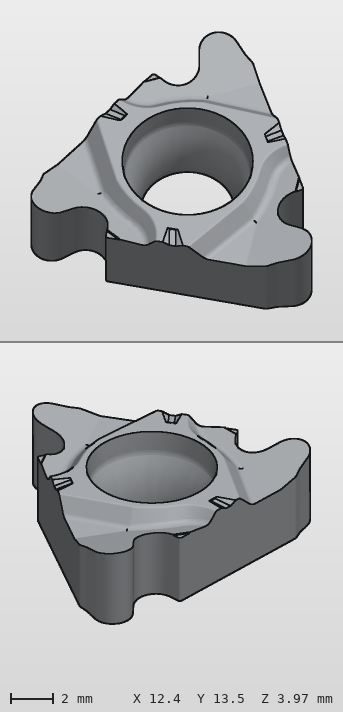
import cadquery as cq
import math

thickness = 3.97
overall_width = 13.47
teeth = 3
tooth_pitch = 360.0 / teeth
flank_distance = 4.78

bore_diameter = 4.4
rim_radius = 3.07
rim_depth = 0.97
rim_foot_radius = 2.98
seat_radius = 2.91
seat_blend_drop = 0.24
seat_arc_radius = 4.55

lobe_x, lobe_radius = -3.43, 0.97
scoop_x, scoop_y, scoop_radius = -1.32, -5.68, 1.05
flank_end = (-flank_distance, -4.78)
neck_upper = (-4.57, -5.25)
neck_lower = (-4.51, -5.44)
neck_foot_angle = 199.0
scoop_end_angle = 38.0
tip_x = -0.13
tip_fillet = 0.12
flank_end_fillet = 0.32

floor_z = 3.19
rake_start_y = -3.8
rake_angle = 15.0
rake_blend_radius = 0.31

land_y = -5.24
land_step_run = 0.04
land_z = 3.54
land_start_x = -0.81
land_length = 1.21

wall_angle = 48.0
wall_line_angle = 33.0
wall_bend = (-1.74, -3.02)
wall_bend_radius = 0.07
wall_crest = (0.23, -3.42)
wall_outer_radius = 2.02
wall_turn = 60.0
wall_foot_fillet = 0.4
wall_top_fillet = 0.16

notch_end_x = -3.93
notch_outer_depth = 0.155
notch_inner_depth = 0.05
notch_outer_top = (-0.8, 0.18)
notch_outer_floor = (-0.45, -0.13)
notch_inner_top = (-0.38, 0.12)
notch_inner_floor = (-0.27, 0.03)

margin = 4.04
overlap = 0.13

wall_zone_low = (-6.06, -4.58)
wall_zone_high = (1.62, -1.08)
wall_zone_reach = 0.18


def polar(x, y, radius, angle):
    """Point at this radius and angle in degrees from a center."""
    a = math.radians(angle)
    return (x + radius * math.cos(a), y + radius * math.sin(a))


def turned(point, index):
    """Point of the first tooth carried to the tooth with this index."""
    a = math.radians(index * tooth_pitch)
    x, y = point
    return (x * math.cos(a) - y * math.sin(a), x * math.sin(a) + y * math.cos(a))


pitch_sin = math.sin(math.radians(tooth_pitch))
pitch_cos = math.cos(math.radians(tooth_pitch))
lobe_y = -(overall_width - 2 * lobe_radius + lobe_x * pitch_sin) / (1 - pitch_cos)

link_length = math.hypot(scoop_x - lobe_x, scoop_y - lobe_y)
link_heading = math.degrees(math.atan2(scoop_y - lobe_y, scoop_x - lobe_x))
link_angle = link_heading - math.degrees(math.acos((lobe_radius + scoop_radius) / link_length))

flank_normal = math.radians(180 + tooth_pitch)
tip_y = (flank_distance - tip_x * math.cos(flank_normal)) / math.sin(flank_normal)
tip = (tip_x, tip_y)


def body():
    """Toothed outline at full thickness with its sharp corners rounded."""
    neck_foot = polar(lobe_x, lobe_y, lobe_radius, neck_foot_angle)
    lobe_bottom = (lobe_x, lobe_y - lobe_radius)
    lobe_end = polar(lobe_x, lobe_y, lobe_radius, link_angle)
    scoop_start = polar(scoop_x, scoop_y, scoop_radius, link_angle + 180)
    scoop_top = (scoop_x, scoop_y + scoop_radius)
    scoop_end = polar(scoop_x, scoop_y, scoop_radius, scoop_end_angle)
    outline = cq.Workplane("XY").moveTo(*turned(tip, -1))
    for i in range(teeth):
        for corner in (flank_end, neck_upper, neck_lower, neck_foot):
            outline = outline.lineTo(*turned(corner, i))
        outline = outline.threePointArc(turned(lobe_bottom, i), turned(lobe_end, i))
        outline = outline.lineTo(*turned(scoop_start, i))
        outline = outline.threePointArc(turned(scoop_top, i), turned(scoop_end, i))
        if i < teeth - 1:
            outline = outline.lineTo(*turned(tip, i))
    solid = outline.close().extrude(thickness)
    for i in range(teeth):
        for corner, radius in ((tip, tip_fillet), (flank_end, flank_end_fillet)):
            upright = cq.selectors.NearestToPointSelector((*turned(corner, i), thickness / 2))
            solid = solid.edges("|Z").edges(upright).fillet(radius)
    return solid


def rake_height(y):
    """Height of the first tooth's rising rake face."""
    return floor_z + (rake_start_y - y) * math.tan(math.radians(rake_angle))


def pocket_plan():
    """Region outside the plateau edge at the top face, running well past the body."""
    run = wall_crest[0] - wall_bend[0]
    drop = wall_bend[1] - wall_crest[1]
    arc_radius = (run ** 2 + drop ** 2) / (2 * drop)
    arc_center = (wall_crest[0], wall_crest[1] + arc_radius)
    half_turn = math.degrees(math.atan2(drop, run))
    arc_mid = polar(*arc_center, arc_radius, 270 - half_turn)
    line_normal = 270 - wall_line_angle
    bend_center = polar(*arc_center, arc_radius - wall_bend_radius, 270 - 2 * half_turn)
    bend_start = polar(*bend_center, wall_bend_radius, line_normal)
    bend_mid = polar(*bend_center, wall_bend_radius, (line_normal + 270) / 2 - half_turn)
    start = polar(*bend_start, 2 * margin, line_normal - 90)
    turn_y = wall_crest[1] - wall_outer_radius
    turn_mid = polar(wall_crest[0], turn_y, wall_outer_radius, 90 - wall_turn / 2)
    turn_end = polar(wall_crest[0], turn_y, wall_outer_radius, 90 - wall_turn)
    exit_end = polar(*turn_end, margin, -wall_turn)
    return (
        cq.Workplane("XY", origin=(0, 0, thickness))
        .moveTo(*start)
        .lineTo(*bend_start)
        .threePointArc(bend_mid, wall_bend)
        .threePointArc(arc_mid, wall_crest)
        .threePointArc(turn_mid, turn_end)
        .lineTo(*exit_end)
        .lineTo(start[0], exit_end[1] - margin)
        .close()
    )


def rake_space():
    """Space above the level floor and the rising rake face."""
    far_y = -4 * margin
    length = 8 * margin
    space = (
        cq.Workplane("YZ", origin=(-length / 2, 0, 0))
        .moveTo(margin, floor_z)
        .lineTo(rake_start_y, floor_z)
        .lineTo(far_y, rake_height(far_y))
        .lineTo(far_y, 2 * thickness)
        .lineTo(margin, 2 * thickness)
        .close()
        .extrude(length)
    )
    crease = cq.selectors.NearestToPointSelector((0, rake_start_y, floor_z))
    return space.edges(crease).fillet(rake_blend_radius)


def tip_land():
    """Space above the level land and the step that leads down to it."""
    return (
        cq.Workplane("YZ", origin=(land_start_x, 0, 0))
        .moveTo(land_y, rake_height(land_y))
        .lineTo(land_y - land_step_run, land_z)
        .lineTo(land_y - land_length, land_z)
        .lineTo(land_y - land_length, thickness)
        .lineTo(land_y, thickness)
        .close()
        .extrude(land_length)
    )


def wall_zone(z):
    """Picks the edges along the first tooth's wall that lie near height z."""
    low = (*wall_zone_low, z - wall_zone_reach)
    high = (*wall_zone_high, z + wall_zone_reach)
    return cq.selectors.BoxSelector(low, high)


def pocket():
    """Everything removed above the rake face of the first tooth."""
    wall_lean = 90 - wall_angle
    space = pocket_plan().extrude(floor_z - thickness - overlap, taper=wall_lean)
    space = space.intersect(rake_space())
    wall_foot = space.edges("not |X").edges(wall_zone(floor_z))
    return wall_foot.fillet(wall_foot_fillet)


def screw_hole():
    """Nearly straight rim blended into a rounded seat running into the bore."""
    bore_radius = bore_diameter / 2
    rim_foot_z = thickness - rim_depth
    arc_center_x = bore_radius + seat_arc_radius
    seat_angle = math.acos((arc_center_x - seat_radius) / seat_arc_radius)
    seat_top_z = rim_foot_z - seat_blend_drop
    seat_foot_z = seat_top_z - seat_arc_radius * math.sin(seat_angle)
    seat_mid = (
        arc_center_x - seat_arc_radius * math.cos(seat_angle / 2),
        seat_foot_z + seat_arc_radius * math.sin(seat_angle / 2),
    )
    return (
        cq.Workplane("XZ")
        .moveTo(0, thickness)
        .lineTo(rim_radius, thickness)
        .lineTo(rim_foot_radius, rim_foot_z)
        .tangentArcPoint((seat_radius, seat_top_z), relative=False)
        .threePointArc(seat_mid, (bore_radius, seat_foot_z))
        .lineTo(bore_radius, 0)
        .lineTo(0, 0)
        .close()
        .revolve(360, (0, 0, 0), (0, 1, 0))
    )


def notch_section(top, floor, depth):
    """Trapezoid with its top edge on the plateau, in Y and Z."""
    low_z = thickness - depth
    return [(top[0], thickness), (floor[0], low_z), (floor[1], low_z), (top[1], thickness)]


def notch():
    """Tapered trough that runs in from the flank and grows shallower."""
    run = flank_distance + notch_end_x
    return (
        cq.Workplane("YZ", origin=(-flank_distance, 0, 0))
        .polyline(notch_section(notch_outer_top, notch_outer_floor, notch_outer_depth))
        .close()
        .workplane(offset=run)
        .polyline(notch_section(notch_inner_top, notch_inner_floor, notch_inner_depth))
        .close()
        .loft(ruled=True)
    )


result = body()
for _ in range(teeth):
    result = result.cut(pocket()).cut(tip_land())
    result = result.edges(wall_zone(thickness)).fillet(wall_top_fillet)
    result = result.cut(notch())
    result = result.rotate((0, 0, 0), (0, 0, 1), tooth_pitch)
result = result.cut(screw_hole())